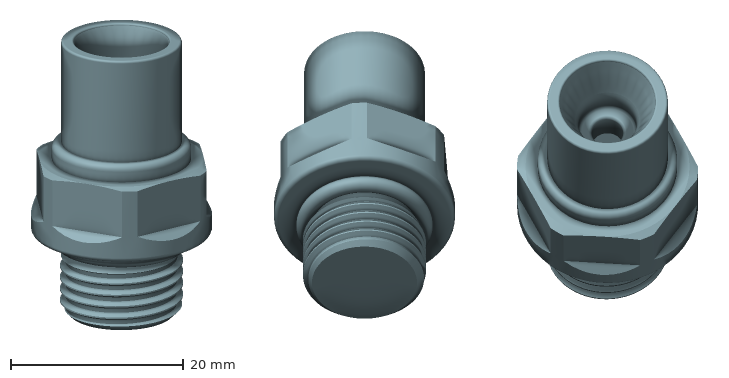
import cadquery as cq
import math

total_height = 33.6
neck_bottom = 7.93
flange_bottom = 9.98
flat_bottom = 13.15
hex_top = 19.05
collar_top = 21.1

neck_diameter = 12.2
thread_root_diameter = 13.0
thread_diameter = 14.28
flange_diameter = 21.0
collar_diameter = 16.2
tube_diameter = 14.0

flange_round = 0.55
collar_round = 0.77
tube_round = 0.27
mouth_round = 0.25

hex_across_flats = 19.02
hex_chamfer_height = 0.27

thread_pitch = 1.4
thread_flank_angle = 30.0
crest_width = thread_pitch / 8
groove_clearance = 0.15

ring_section_radius = 0.95
ring_overlap = 0.07

mouth_diameter = 11.1
cone_bottom_diameter = 7.3
bore_diameter = 6.72
pilot_diameter = 3.63
cone_depth = 4.03
bore_depth = 6.72
pilot_depth = 10.08
cone_edge_height = 1.35
bore_floor_round = 0.37
pilot_edge_round = 0.37


def disc(diameter, bottom, top):
    return cq.Workplane("XY").workplane(offset=bottom).circle(diameter / 2).extrude(top - bottom)


def make_threaded_end():
    """Shank with 45 degree lead-ins at both ends and a right-handed helical groove."""
    neck_radius = neck_diameter / 2
    crest_radius = thread_diameter / 2
    root_radius = thread_root_diameter / 2
    lead_in = crest_radius - neck_radius
    blank = (
        cq.Workplane("XZ")
        .moveTo(0, 0)
        .lineTo(neck_radius, 0)
        .lineTo(crest_radius, lead_in)
        .lineTo(crest_radius, neck_bottom - lead_in)
        .lineTo(neck_radius, neck_bottom)
        .lineTo(neck_radius, flange_bottom)
        .lineTo(0, flange_bottom)
        .close()
        .revolve(360, (0, 0, 0), (0, 1, 0))
    )

    slope = math.tan(math.radians(thread_flank_angle))
    outer_radius = crest_radius + groove_clearance
    crest_half_gap = (thread_pitch - crest_width) / 2
    outer_half_gap = crest_half_gap + groove_clearance * slope
    root_half_gap = crest_half_gap - (crest_radius - root_radius) * slope
    start = -thread_pitch
    turns = math.ceil(neck_bottom / thread_pitch) + 1
    helix = cq.Wire.makeHelix(thread_pitch, turns * thread_pitch, root_radius, cq.Vector(0, 0, start))
    groove = (
        cq.Workplane("XZ")
        .moveTo(root_radius, start - root_half_gap)
        .lineTo(outer_radius, start - outer_half_gap)
        .lineTo(outer_radius, start + outer_half_gap)
        .lineTo(root_radius, start + root_half_gap)
        .close()
        .sweep(cq.Workplane(obj=helix), isFrenet=True)
    )
    bar = disc(thread_diameter, start - thread_pitch, neck_bottom + 2 * thread_pitch)
    return bar.cut(groove).intersect(blank)


def make_sealing_ring():
    centre_radius = neck_diameter / 2 - ring_overlap + ring_section_radius
    centre_height = flange_bottom + ring_overlap - ring_section_radius
    return cq.Workplane(
        cq.Solid.makeTorus(centre_radius, ring_section_radius, cq.Vector(0, 0, centre_height))
    )


def make_hexagon():
    """Round flange whose upper part is milled to six flats, two of them facing -Y and +Y."""
    flange_radius = flange_diameter / 2
    flat_distance = hex_across_flats / 2
    flat_cut = flange_radius - flat_distance
    body = (
        cq.Workplane("XZ")
        .moveTo(0, flange_bottom)
        .lineTo(flange_radius - flange_round, flange_bottom)
        .radiusArc((flange_radius, flange_bottom + flange_round), -flange_round)
        .lineTo(flange_radius, hex_top - hex_chamfer_height)
        .lineTo(flat_distance, hex_top)
        .lineTo(0, hex_top)
        .close()
        .revolve(360, (0, 0, 0), (0, 1, 0))
    )
    reach = 2 * flat_cut
    cutter = (
        cq.Workplane("XZ")
        .moveTo(flat_distance, flat_bottom)
        .lineTo(flat_distance + reach, flat_bottom - reach)
        .lineTo(flat_distance + reach, hex_top)
        .lineTo(flat_distance, hex_top)
        .close()
        .extrude(flange_radius, both=True)
    )
    for index in range(6):
        body = body.cut(cutter.rotate((0, 0, 0), (0, 0, 1), 30 + 60 * index))
    return body


def make_bore():
    """Solid of the stepped bore: rounded mouth, cone, bore and pilot hole."""
    cone_bottom = total_height - cone_depth
    bore_floor = total_height - bore_depth
    mouth_radius = mouth_diameter / 2
    bore_radius = bore_diameter / 2
    pilot_radius = pilot_diameter / 2
    return (
        cq.Workplane("XZ")
        .moveTo(0, total_height)
        .lineTo(mouth_radius + mouth_round, total_height)
        .radiusArc((mouth_radius, total_height - mouth_round), -mouth_round)
        .lineTo(cone_bottom_diameter / 2, cone_bottom)
        .tangentArcPoint((bore_radius, cone_bottom - cone_edge_height), relative=False)
        .lineTo(bore_radius, bore_floor + bore_floor_round)
        .radiusArc((bore_radius - bore_floor_round, bore_floor), bore_floor_round)
        .lineTo(pilot_radius + pilot_edge_round, bore_floor)
        .radiusArc((pilot_radius, bore_floor - pilot_edge_round), -pilot_edge_round)
        .lineTo(pilot_radius, total_height - pilot_depth)
        .lineTo(0, total_height - pilot_depth)
        .close()
        .revolve(360, (0, 0, 0), (0, 1, 0))
    )


collar = disc(collar_diameter, hex_top, collar_top).faces(">Z").edges().fillet(collar_round)
tube = disc(tube_diameter, hex_top, total_height).faces(">Z").edges().fillet(tube_round)

result = (
    make_hexagon()
    .union(collar)
    .union(tube)
    .union(make_threaded_end())
    .union(make_sealing_ring())
    .cut(make_bore())
)